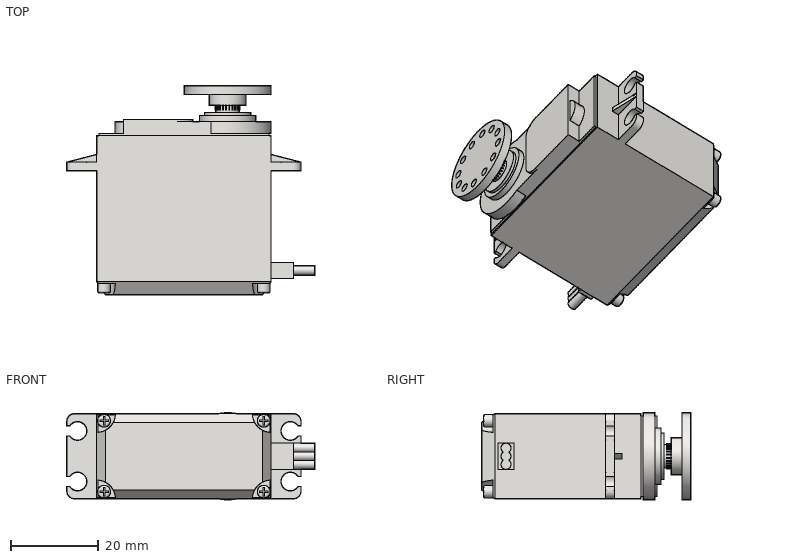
import cadquery as cq
import math


case_length = 40.0
case_height = 19.55
case_depth = 33.5
half_length = case_length / 2
half_height = case_height / 2

cover_depth = 3.0
cover_inset = 2.0
pocket_radius = 4.3
pocket_floor = -0.45
screw_x = 18.3
screw_z = 8.15
screw_radius = 1.5
screw_height = 2.15
screw_edge_radius = 0.45
cross_length = 1.95
cross_width = 0.35
cross_depth = 0.5

ear_span = 53.7
ear_front = 25.4
ear_thickness = 2.0
ear_back = ear_front + ear_thickness
ear_corner_radius = 1.8
ear_hole_x = 24.4
ear_hole_z = 5.8
ear_hole_radius = 2.1
ear_slot_width = 2.3
rib_height = 1.75
rib_width = 1.2

step_height = 0.5
step_inset = 0.5
housing_height = 2.7
pad_height = 0.5
block_left = -13.85
pad_right = 2.05
pad_corner_radius = 3.5
bulge_radius = 4.4
bulge_x = -11.4
large_boss_radius = 6.5
large_boss_height = 1.4
small_boss_radius = 5.35
small_boss_height = 0.7

connector_end = 25.1
connector_height = 6.15
connector_width = 3.7
cable_y = 2.55
overall_length = 56.85
wire_end = overall_length - ear_span / 2
wire_count = 3
wire_radius = 1.15
wire_pitch = 1.9

disc_radius = case_length / 4
disc_thickness = 2.05
hub_radius = 4.25
hub_length = 2.45
horn_hole_count = 12
horn_hole_radius = 0.95
horn_hole_circle = 7.6
horn_hole_start = 12

shaft_root_radius = 2.75
tooth_count = 24
tooth_height = 0.15
tooth_width = 0.15
neck_length = 0.55
exposed_length = 1.65

axis_x = half_length - disc_radius
step_back = case_depth + step_height
housing_back = step_back + housing_height
large_boss_back = housing_back + large_boss_height
small_boss_back = large_boss_back + small_boss_height
hub_front = small_boss_back + exposed_length
disc_front = hub_front + hub_length

SIDES = (-1, 1)
CORNERS = [(x, z) for x in SIDES for z in SIDES]


def plane_at(y, x=0):
    """Sketch plane across Y; a negative extrusion goes toward +Y."""
    return cq.Workplane("XZ", origin=(x, y, 0))


def make_box(x_min, x_max, y_min, y_max, height):
    """Block centred on Z = 0."""
    block = cq.Workplane("XY").box(x_max - x_min, y_max - y_min, height, centered=(False, False, True))
    return block.translate((x_min, y_min, 0))


def make_cylinder(x, y_min, y_max, radius):
    return plane_at(y_min, x).circle(radius).extrude(y_min - y_max)


def make_screw():
    """Round-edged screw head with a cross recess, standing on a pocket floor."""
    top = pocket_floor - screw_height
    head = plane_at(pocket_floor).circle(screw_radius).extrude(screw_height)
    head = head.faces("<Y").edges().fillet(screw_edge_radius)
    cross = plane_at(top).rect(cross_length, cross_width).extrude(-cross_depth)
    cross = cross.union(plane_at(top).rect(cross_width, cross_length).extrude(-cross_depth))
    return head.cut(cross)


def make_cover():
    """Tapered front cover with a quarter-round pocket and a screw at each corner."""
    taper = math.degrees(math.atan(cover_inset / cover_depth))
    cover = plane_at(0).rect(case_length, case_height).extrude(cover_depth, taper=taper)
    for side_x, side_z in CORNERS:
        pocket = plane_at(pocket_floor).center(side_x * half_length, side_z * half_height)
        cover = cover.cut(pocket.circle(pocket_radius).extrude(cover_depth))
    screw = make_screw()
    for side_x, side_z in CORNERS:
        cover = cover.union(screw.translate((side_x * screw_x, 0, side_z * screw_z)))
    return cover


def make_ears():
    """Mounting plate through the case, with open-ended holes and a sloping rib at each end."""
    ears = make_box(-ear_span / 2, ear_span / 2, ear_front, ear_back, case_height)
    ears = ears.edges("|Y").fillet(ear_corner_radius)
    for side_x, side_z in CORNERS:
        hole_x = side_x * ear_hole_x
        hole_z = side_z * ear_hole_z
        hole = plane_at(ear_front).center(hole_x, hole_z).circle(ear_hole_radius)
        slot = plane_at(ear_front).center(side_x * (ear_hole_x + ear_hole_radius), hole_z)
        slot = slot.rect(2 * ear_hole_radius, ear_slot_width)
        ears = ears.cut(hole.extrude(-ear_thickness)).cut(slot.extrude(-ear_thickness))
    for side in SIDES:
        rib = (
            cq.Workplane("XY")
            .moveTo(side * ear_span / 2, ear_back)
            .lineTo(side * half_length, ear_back)
            .lineTo(side * half_length, ear_back + rib_height)
            .close()
            .extrude(rib_width / 2, both=True)
        )
        ears = ears.union(rib)
    return ears


def make_gear_housing():
    """Stepped block, pad, round lobe and bosses around the output axis."""
    block_height = case_height - 2 * step_inset
    step_half_length = half_length - step_inset
    step = make_box(-step_half_length, step_half_length, case_depth, step_back, block_height)
    block = make_box(block_left, axis_x, step_back, housing_back, block_height)
    pad = make_box(block_left, pad_right, housing_back, housing_back + pad_height, block_height)
    pad = pad.edges("|Y and >X").fillet(pad_corner_radius)
    bulge = make_cylinder(bulge_x, step_back, housing_back, bulge_radius)
    lobe = make_cylinder(axis_x, step_back, housing_back, disc_radius)
    large_boss = make_cylinder(axis_x, housing_back, large_boss_back, large_boss_radius)
    small_boss = make_cylinder(axis_x, large_boss_back, small_boss_back, small_boss_radius)
    housing = step
    for piece in (block, pad, bulge, lobe, large_boss, small_boss):
        housing = housing.union(piece)
    return housing


def make_cable():
    """Cable block on the side of the case and a row of wires stacked along Z."""
    half_width = connector_width / 2
    cable = make_box(half_length, connector_end, cable_y - half_width, cable_y + half_width, connector_height)
    for index in range(wire_count):
        wire_z = (index - (wire_count - 1) / 2) * wire_pitch
        wire = cq.Workplane("YZ", origin=(connector_end, cable_y, wire_z))
        cable = cable.union(wire.circle(wire_radius).extrude(wire_end - connector_end))
    return cable


def make_case():
    case = make_box(-half_length, half_length, 0, case_depth, case_height)
    for piece in (make_cover(), make_ears(), make_gear_housing(), make_cable()):
        case = case.union(piece)
    return case


def make_output_shaft():
    """Shaft with a plain neck and straight spline teeth, ending at the bottom of the hub bore."""
    shaft = make_cylinder(axis_x, small_boss_back, disc_front, shaft_root_radius)
    teeth_front = small_boss_back + neck_length
    tip_radius = shaft_root_radius + tooth_height
    tooth = make_box(axis_x, axis_x + tip_radius, teeth_front, disc_front, tooth_width)
    for index in range(tooth_count):
        angle = (index + 0.5) * 360 / tooth_count
        shaft = shaft.union(tooth.rotate((axis_x, 0, 0), (axis_x, 1, 0), angle))
    return shaft


def make_horn(shaft):
    """Round horn with a ring of holes; its hub is bored to match the splined shaft."""
    hub = make_cylinder(axis_x, hub_front, disc_front, hub_radius)
    disc = make_cylinder(axis_x, disc_front, disc_front + disc_thickness, disc_radius)
    holes = (
        plane_at(disc_front, axis_x)
        .polarArray(horn_hole_circle, horn_hole_start, 360, horn_hole_count)
        .circle(horn_hole_radius)
        .extrude(-disc_thickness)
    )
    return hub.union(disc.cut(holes)).cut(shaft)


servo_case = make_case()
output_shaft = make_output_shaft()
horn = make_horn(output_shaft)

result = cq.Compound.makeCompound([servo_case.val(), output_shaft.val(), horn.val()])